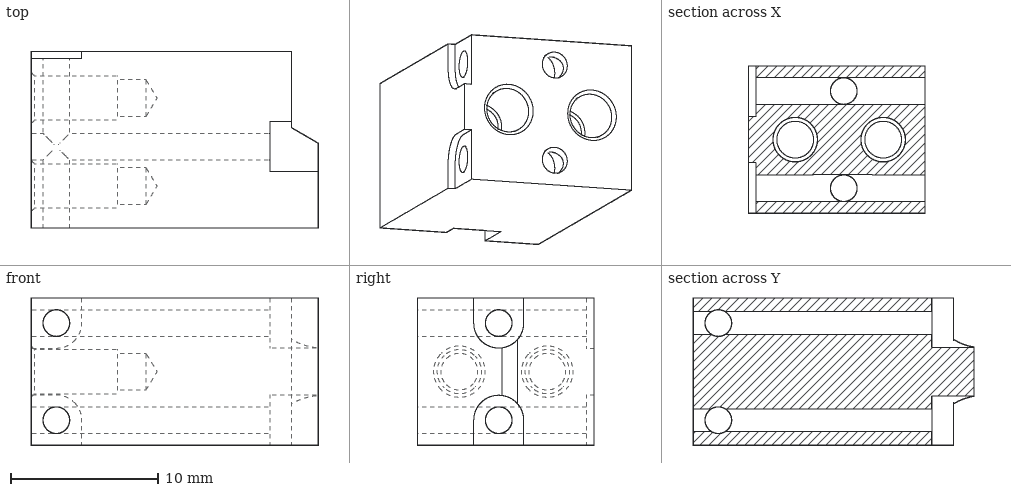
import cadquery as cq
import math

length = 19.5
depth = 12.0
height = 10.0

step_x = 17.69
slope_start_y = 5.75
slope_end_y = 6.8

screw_diameter = 1.8
screw_x = 1.72
screw_y = 5.52
screw_z = 3.3

head_diameter = 3.4
head_seat_x = 16.2

recess_radius = 1.72
recess_depth = 0.5

port_y = 5.83
port_spacing = 5.97
port_mouth_diameter = 3.5
port_diameter = 3.0
port_bore_depth = 5.85
port_chamfer = (port_mouth_diameter - port_diameter) / 2
drill_diameter = 2.5
drill_depth = 7.8
drill_tip_angle = 118.0

overcut = 0.98


def block():
    """Block with a step and a sloped face on its +X end."""
    outline = [
        (0, 0),
        (length, 0),
        (length, slope_start_y),
        (step_x, slope_end_y),
        (step_x, depth),
        (0, depth),
    ]
    return cq.Workplane("XY").polyline(outline).close().extrude(height / 2, both=True)


def screw_holes(side):
    """Crossing pair of through holes; side is +1 for the upper pair and -1 for the lower."""
    z = side * screw_z
    radius = screw_diameter / 2
    along_x = cq.Workplane("YZ").center(screw_y, z).circle(radius).extrude(length)
    along_y = cq.Workplane("XZ").center(screw_x, z).circle(radius).extrude(-depth)
    return along_x.union(along_y)


def head_slot(side):
    """Round-bottomed slot around an X screw hole, open to +X and to the near Z face."""
    radius = head_diameter / 2
    z = side * screw_z
    outer_z = side * (height / 2 + overcut)
    return (
        cq.Workplane("YZ", origin=(head_seat_x, 0, 0))
        .moveTo(screw_y - radius, outer_z)
        .lineTo(screw_y - radius, z)
        .threePointArc((screw_y, z - side * radius), (screw_y + radius, z))
        .lineTo(screw_y + radius, outer_z)
        .close()
        .extrude(length + overcut - head_seat_x)
    )


def corner_recess(side):
    """Shallow recess around a Y screw hole, with its single inner corner rounded."""
    z = side * screw_z
    outer_z = side * (height / 2 + overcut)
    diagonal = recess_radius * math.sqrt(0.5)
    return (
        cq.Workplane("XZ", origin=(0, depth - recess_depth, 0))
        .moveTo(-overcut, outer_z)
        .lineTo(-overcut, z - side * recess_radius)
        .lineTo(screw_x, z - side * recess_radius)
        .threePointArc(
            (screw_x + diagonal, z - side * diagonal),
            (screw_x + recess_radius, z),
        )
        .lineTo(screw_x + recess_radius, outer_z)
        .close()
        .extrude(-(recess_depth + overcut))
    )


def port(y):
    """Chamfered bore with a smaller drilled hole and a conical tip at its bottom."""
    drill_radius = drill_diameter / 2
    tip_length = drill_radius / math.tan(math.radians(drill_tip_angle / 2))
    half_profile = [
        (0, 0),
        (0, port_mouth_diameter / 2),
        (port_chamfer, port_diameter / 2),
        (port_bore_depth, port_diameter / 2),
        (port_bore_depth, drill_radius),
        (drill_depth, drill_radius),
        (drill_depth + tip_length, 0),
    ]
    return (
        cq.Workplane("XY", origin=(0, y, 0))
        .polyline(half_profile)
        .close()
        .revolve(360, (0, 0, 0), (1, 0, 0))
    )


result = block()
for side in (1, -1):
    result = result.cut(screw_holes(side))
    result = result.cut(head_slot(side))
    result = result.cut(corner_recess(side))
    result = result.cut(port(port_y + side * port_spacing / 2))